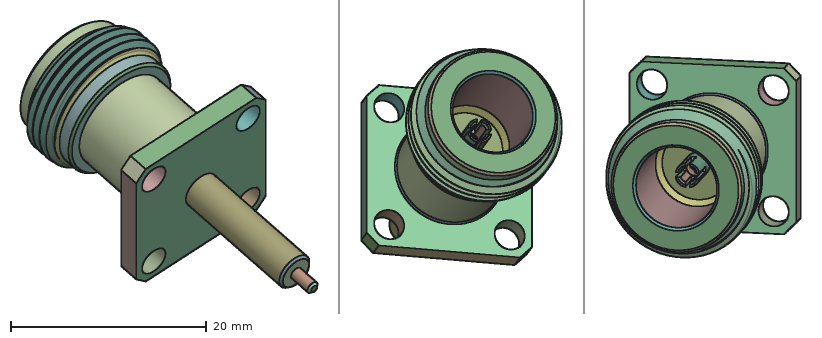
import cadquery as cq
import math

total_length = 38.6
thread_start = 1.5
thread_end = 6.52
collar_end = 8.2
flange_start = 18.37
flange_end = 20.75
stem_end = 35.75

nose_radius = 6.85
thread_radius = 7.95
collar_radius = 6.9
barrel_radius = 5.65
stem_radius = 2.05
pin_radius = 0.7
edge_chamfer = 0.27
flange_relief = 0.15
relief_length = 0.3

flange_size = 17.5
flange_corner_chamfer = 1.27
hole_spacing = 12.75
hole_radius = 1.6

thread_turns = 6
thread_travel = 6.33
thread_pitch = thread_travel / thread_turns
thread_depth = 0.7
thread_root_radius = thread_radius - thread_depth
thread_crest_width = 0.1
thread_half_angle = 30.0
first_crest = 3.0
lead_in_turns = 2
ridge_sink = 0.05
ridge_clearance = 0.05

bore_mouth_radius = 4.5
bore_radius = 4.25
bore_floor_radius = 3.7
bore_depth = 10.8
bore_cone_length = 0.77
contact_radius = 1.27
contact_bore_radius = 0.8
contact_tip = 5.8
contact_slot_width = 0.5
contact_slot_depth = 3.1
contact_bore_depth = 3.47
contact_mouth_chamfer = 0.25


def revolve_about_x(points):
    """Revolve a closed (x, radius) outline about the X axis."""
    return cq.Workplane("XY").polyline(points).close().revolve(360, (0, 0, 0), (1, 0, 0))


def thread_blank_outline(radius):
    """Open outline of the thread zone: a cylinder with 45-degree cones at both ends."""
    return [
        (thread_start, nose_radius),
        (thread_start + radius - nose_radius, radius),
        (thread_end - (radius - collar_radius), radius),
        (thread_end, collar_radius),
    ]


def make_turned_body():
    return revolve_about_x([
        (0, 0),
        (0, nose_radius - edge_chamfer),
        (edge_chamfer, nose_radius),
        *thread_blank_outline(thread_root_radius),
        (collar_end - edge_chamfer, collar_radius),
        (collar_end, collar_radius - edge_chamfer),
        (collar_end, barrel_radius),
        (flange_start - relief_length, barrel_radius),
        (flange_start, barrel_radius + flange_relief),
        (flange_end, barrel_radius + flange_relief),
        (flange_end, stem_radius),
        (stem_end - edge_chamfer, stem_radius),
        (stem_end, stem_radius - edge_chamfer),
        (stem_end, pin_radius),
        (total_length - edge_chamfer, pin_radius),
        (total_length, pin_radius - edge_chamfer),
        (total_length, 0),
    ])


def make_flange():
    return (
        cq.Workplane("YZ", origin=(flange_start, 0, 0))
        .rect(flange_size, flange_size)
        .extrude(flange_end - flange_start)
        .edges("|X")
        .chamfer(flange_corner_chamfer)
        .faces(">X")
        .workplane(origin=(flange_end, 0, 0))
        .rect(hole_spacing, hole_spacing, forConstruction=True)
        .vertices()
        .hole(2 * hole_radius)
    )


def make_thread_ridge():
    """Helical V ridge, sunk into the root cylinder and trimmed by the conical thread ends."""
    start = first_crest - lead_in_turns * thread_pitch
    base_radius = thread_root_radius - ridge_sink
    crest_half = thread_crest_width / 2
    base_half = crest_half + (thread_radius - base_radius) * math.tan(math.radians(thread_half_angle))
    helix = cq.Wire.makeHelix(
        thread_pitch,
        thread_travel,
        thread_root_radius,
        cq.Vector(start, 0, 0),
        cq.Vector(1, 0, 0),
    )
    helix_start = helix.startPoint()
    start_angle = math.degrees(math.atan2(helix_start.z, helix_start.y))
    helix = helix.rotate(cq.Vector(0, 0, 0), cq.Vector(1, 0, 0), -start_angle)
    ridge = (
        cq.Workplane("XY")
        .polyline([
            (start - base_half, base_radius),
            (start + base_half, base_radius),
            (start + crest_half, thread_radius),
            (start - crest_half, thread_radius),
        ])
        .close()
        .sweep(cq.Workplane(obj=helix), isFrenet=True)
    )
    envelope = revolve_about_x([
        (thread_start, 0),
        *thread_blank_outline(thread_radius + ridge_clearance),
        (thread_end, 0),
    ])
    return ridge.intersect(envelope)


def make_socket():
    mouth_chamfer = bore_mouth_radius - bore_radius
    return revolve_about_x([
        (0, 0),
        (0, bore_mouth_radius),
        (mouth_chamfer, bore_radius),
        (bore_depth - bore_cone_length, bore_radius),
        (bore_depth, bore_floor_radius),
        (bore_depth, 0),
    ])


def make_contact():
    bore_end = contact_tip + contact_bore_depth
    contact = revolve_about_x([
        (contact_tip, contact_bore_radius + contact_mouth_chamfer),
        (contact_tip, contact_radius),
        (bore_depth, contact_radius),
        (bore_depth, 0),
        (bore_end, 0),
        (bore_end, contact_bore_radius),
        (contact_tip + contact_mouth_chamfer, contact_bore_radius),
    ])
    slot_length = 2 * contact_radius
    for width, height in ((slot_length, contact_slot_width), (contact_slot_width, slot_length)):
        slot = cq.Workplane("YZ", origin=(contact_tip, 0, 0)).rect(width, height).extrude(contact_slot_depth)
        contact = contact.cut(slot)
    return contact


result = (
    make_turned_body()
    .union(make_thread_ridge())
    .union(make_flange())
    .cut(make_socket())
    .union(make_contact())
)